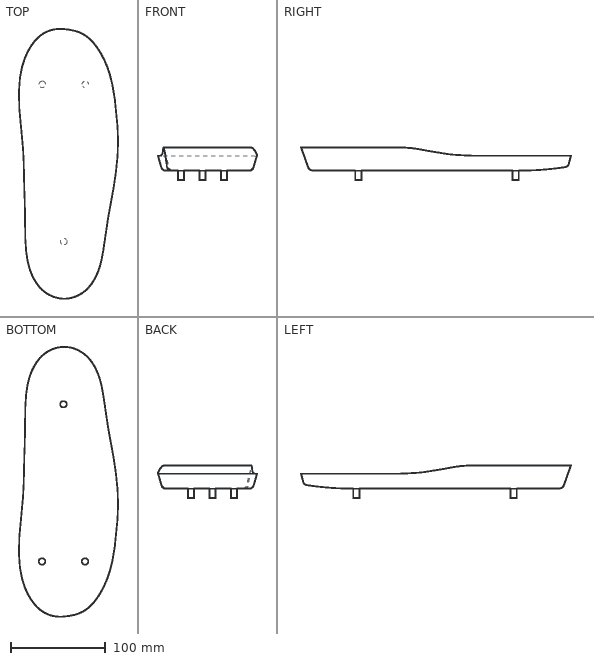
import math

import cadquery as cq

TOE_HEIGHT = 16.0
HEEL_HEIGHT = 24.63
TOE_TIP_Y = 142.5
HEEL_TIP_Y = -142.5
BOTTOM_FILLET = 5.0

RISE_START_Y = 36.0
RISE_MIDDLE = (-3.0, 20.0)
RISE_SLOPE = 0.18
RISE_END_Y = -36.0

TOE_SPRING_START_Y = 88.0
TOE_SPRING_LIFT = 6.6
HEEL_SPRING_START_Y = -118.0
HEEL_SPRING_LIFT = 1.8

RIM_POINTS = [
    (-6.0, TOE_TIP_Y, 14),
    (-29.4, 135.7, 14),
    (-44.8, 115.0, 15),
    (-52.48, 76.5, 16),
    (-50.4, 39.2, 17),
    (-47.8, 4.7, 20),
    (-46.2, -43.5, 13),
    (-45.5, -84.8, 8),
    (-37.8, -119.3, 9),
    (-24.0, -136.2, 13),
    (-4.0, HEEL_TIP_Y, 20),
    (17.0, -134.6, 17),
    (30.4, -116.0, 10),
    (38.3, -81.0, 12),
    (45.6, -36.6, 16),
    (52.46, 18.0, 16),
    (50.4, 56.0, 16),
    (45.4, 88.0, 15),
    (34.0, 117.0, 14),
    (17.6, 135.7, 14),
]

PIN_DIAMETER = 6.8
PIN_LENGTH = 10.0
PIN_ROOT = 5.0
PIN_MIDDLE_X = -5.3
HEEL_PIN_Y = -81.8
TOE_PIN_SPACING = 45.4
TOE_PIN_Y = 84.15

CLEARANCE = 10.0
TRIM_WIDTH = 200.0


def rim_height(y):
    """Approximate height of the top face at y, for setting out the drafted wall."""
    share = (RISE_START_Y - y) / (RISE_START_Y - RISE_END_Y)
    share = min(max(share, 0.0), 1.0)
    blend = (1 - math.cos(math.pi * share)) / 2
    return TOE_HEIGHT + (HEEL_HEIGHT - TOE_HEIGHT) * blend


def wall_outline(z):
    """Closed curve where the drafted wall crosses the height z."""
    count = len(RIM_POINTS)
    points = []
    for i, (x, y, draft) in enumerate(RIM_POINTS):
        before = RIM_POINTS[i - 1]
        after = RIM_POINTS[(i + 1) % count]
        along_x = after[0] - before[0]
        along_y = after[1] - before[1]
        chord = math.hypot(along_x, along_y)
        inset = (rim_height(y) - z) * math.tan(math.radians(draft))
        points.append(cq.Vector(x - inset * along_y / chord, y + inset * along_x / chord, z))
    knots = [0.0]
    for i in range(count):
        x, y, _ = RIM_POINTS[i]
        next_x, next_y, _ = RIM_POINTS[(i + 1) % count]
        knots.append(knots[-1] + math.hypot(next_x - x, next_y - y))
    return cq.Wire.assembleEdges([cq.Edge.makeSpline(points, periodic=True, parameters=knots)])


def drafted_block():
    """Block with the sole's leaning wall, taller than the sole at the toe."""
    return cq.Workplane(cq.Solid.makeLoft([wall_outline(0), wall_outline(HEEL_HEIGHT)], True))


def spring_height(start_y, end_y, lift, y):
    """Height at y of the arc that leaves the flat underside at start_y and gains lift by end_y."""
    radius = ((end_y - start_y) ** 2 + lift**2) / (2 * lift)
    return radius - math.sqrt(radius**2 - (y - start_y) ** 2)


def trimming_prism():
    """Prism along X with the stepped top and an underside that curves up at both tips."""
    toe_end = TOE_TIP_Y + CLEARANCE
    heel_end = HEEL_TIP_Y - CLEARANCE
    level = (-1, 0)
    heel_arc_y = (HEEL_SPRING_START_Y + heel_end) / 2
    heel_arc_z = spring_height(HEEL_SPRING_START_Y, heel_end, HEEL_SPRING_LIFT, heel_arc_y)
    return (
        cq.Workplane("YZ", origin=(-TRIM_WIDTH / 2, 0, 0))
        .moveTo(HEEL_SPRING_START_Y, 0)
        .lineTo(TOE_SPRING_START_Y, 0)
        .tangentArcPoint((toe_end, TOE_SPRING_LIFT), relative=False)
        .lineTo(toe_end, TOE_HEIGHT)
        .spline(
            [
                (RISE_START_Y, TOE_HEIGHT),
                RISE_MIDDLE,
                (RISE_END_Y, HEEL_HEIGHT),
                (heel_end, HEEL_HEIGHT),
            ],
            tangents=[level, level, (-1, RISE_SLOPE), level, level],
            includeCurrent=True,
        )
        .lineTo(heel_end, HEEL_SPRING_LIFT)
        .threePointArc((heel_arc_y, heel_arc_z), (HEEL_SPRING_START_Y, 0))
        .close()
        .extrude(TRIM_WIDTH)
    )


def sole():
    """Drafted block trimmed to the side profile, its bottom edge rounded."""
    trimmed = drafted_block().intersect(trimming_prism())
    underside = cq.selectors.BoxSelector(
        (-TRIM_WIDTH, -TRIM_WIDTH, -CLEARANCE), (TRIM_WIDTH, TRIM_WIDTH, TOE_HEIGHT / 2)
    )
    return trimmed.faces("%BSPLINE").edges(underside).fillet(BOTTOM_FILLET)


def pins():
    """Two pins side by side under the forefoot and one under the heel."""
    places = [
        (PIN_MIDDLE_X, HEEL_PIN_Y),
        (PIN_MIDDLE_X - TOE_PIN_SPACING / 2, TOE_PIN_Y),
        (PIN_MIDDLE_X + TOE_PIN_SPACING / 2, TOE_PIN_Y),
    ]
    return (
        cq.Workplane(origin=(0, 0, -PIN_LENGTH))
        .pushPoints(places)
        .circle(PIN_DIAMETER / 2)
        .extrude(PIN_LENGTH + PIN_ROOT)
    )


result = sole().union(pins())